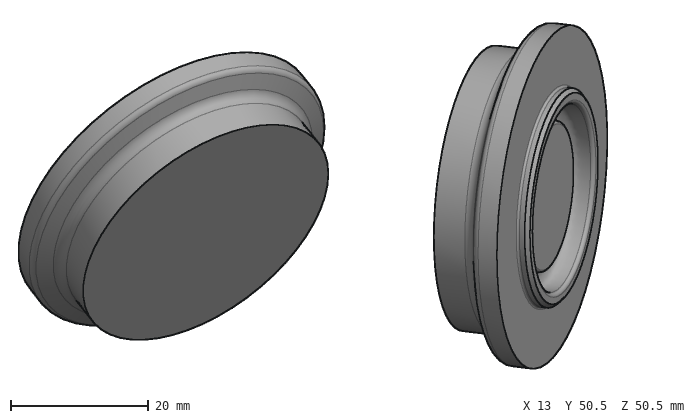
import cadquery as cq
import math

total_length = 13.0
flange_face_x = 1.8
flange_round_x = 4.75
neck_end_x = 8.25
center_floor_x = 2.15
groove_bottom_x = 3.35

flange_radius = 25.25
hub_radius = 21.0
ring_radius = 16.15
groove_outer_radius = 13.9
groove_inner_radius = 11.15

ring_inner_round = 0.6
ring_chamfer = 0.6
ring_base_round = 0.35
floor_edge_round = 0.4
flange_edge_round = 0.95
neck_round = 1.8
back_slope = math.radians(20)

DIAGONAL = math.sqrt(0.5)


def round_middle(center, radius, x_side, r_side):
    """Middle point of a quarter round lying on the given sides of its center."""
    return (
        center[0] + x_side * radius * DIAGONAL,
        center[1] + r_side * radius * DIAGONAL,
    )


def point_on_round(center, radius, angle):
    """Point at an angle from +X toward increasing radius."""
    return (center[0] + radius * math.cos(angle), center[1] + radius * math.sin(angle))


floor_edge_center = (center_floor_x + floor_edge_round, groove_inner_radius - floor_edge_round)
groove_bottom = (groove_bottom_x, (groove_outer_radius + groove_inner_radius) / 2)
ring_inner_center = (ring_inner_round, groove_outer_radius + ring_inner_round)
ring_base_center = (flange_face_x - ring_base_round, ring_radius + ring_base_round)
flange_edge_center = (flange_round_x, flange_radius - flange_edge_round)
neck_center = (neck_end_x, hub_radius + neck_round)

profile = (
    cq.Workplane("XY")
    .moveTo(center_floor_x, 0)
    .lineTo(center_floor_x, floor_edge_center[1])
    .threePointArc(
        round_middle(floor_edge_center, floor_edge_round, -1, 1),
        (floor_edge_center[0], groove_inner_radius),
    )
    .spline(
        [groove_bottom, (ring_inner_round, groove_outer_radius)],
        tangents=[(1, 0), (-1, 0)],
        includeCurrent=True,
    )
    .threePointArc(
        round_middle(ring_inner_center, ring_inner_round, -1, -1),
        (0, ring_inner_center[1]),
    )
    .lineTo(0, ring_radius - ring_chamfer)
    .lineTo(ring_chamfer, ring_radius)
    .lineTo(ring_base_center[0], ring_radius)
    .threePointArc(
        round_middle(ring_base_center, ring_base_round, 1, -1),
        (flange_face_x, ring_base_center[1]),
    )
    .lineTo(flange_face_x, flange_radius)
    .lineTo(flange_round_x, flange_radius)
    .threePointArc(
        point_on_round(flange_edge_center, flange_edge_round, (back_slope + math.pi / 2) / 2),
        point_on_round(flange_edge_center, flange_edge_round, back_slope),
    )
    .lineTo(*point_on_round(neck_center, neck_round, math.pi + back_slope))
    .threePointArc(
        point_on_round(neck_center, neck_round, (back_slope + math.pi * 5 / 2) / 2),
        (neck_end_x, hub_radius),
    )
    .lineTo(total_length, hub_radius)
    .lineTo(total_length, 0)
    .close()
)

result = profile.revolve(360, (0, 0, 0), (1, 0, 0)).translate((-total_length / 2, 0, 0))